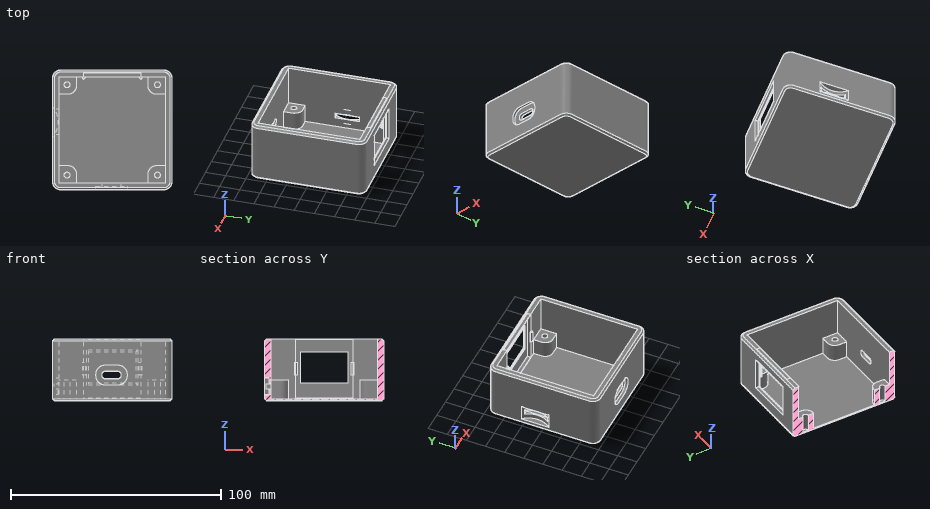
import cadquery as cq

side = 57.0
height = 29.5
corner_radius = 4.0
edge_chamfer = 1.0
wall = 3.25
floor_thickness = 1.0
outer_half = side / 2
inner_half = outer_half - wall

boss_size = 8.25
boss_radius = 4.0
boss_top = 10.0
screw_hole_diameter = 2.8
screw_spacing = 43.0

port_x = -0.35
port_z = 12.3
port_width = 9.0
port_height = 3.4
port_radius = 1.4
port_recess_margin = 3.0
port_recess_depth = 1.5

switch_y = 3.85
switch_z = 6.95
scoop_width = 14.5
scoop_height = 7.9
scoop_depth = 2.8
switch_slot_width = 12.2
switch_slot_height = 2.4

display_width = 27.4
display_height = 28.0
display_depth = 1.8
display_z = 15.3
window_width = 22.4
window_height = 14.7
window_z = 15.9
window_lip = 0.4

clip_length = 6.0
clip_reach = 1.2
clip_edge = 0.25
clip_foot = 0.45
clip_tip_bevel = 0.5


def block(x_min, x_max, y_min, y_max, z_min, z_max):
    """Box given by its limits along each axis."""
    return cq.Workplane("XY").box(
        x_max - x_min, y_max - y_min, z_max - z_min, centered=False
    ).translate((x_min, y_min, z_min))


def make_shell():
    """Square box with rounded corners, chamfered rims and an open top."""
    body = cq.Workplane("XY").rect(side, side).extrude(height)
    body = body.edges("|Z").fillet(corner_radius)
    body = body.faces("<Z or >Z").edges().chamfer(edge_chamfer)
    cavity = block(-inner_half, inner_half, -inner_half, inner_half, floor_thickness, height)
    return body.cut(cavity)


def make_boss(x_sign, y_sign):
    """Corner block with its free vertical edge rounded."""
    center = inner_half - boss_size / 2
    boss = (
        cq.Workplane("XY")
        .workplane(offset=floor_thickness)
        .center(x_sign * center, y_sign * center)
        .rect(boss_size, boss_size)
        .extrude(boss_top - floor_thickness)
    )
    inner_x_side = "<X" if x_sign > 0 else ">X"
    inner_y_side = "<Y" if y_sign > 0 else ">Y"
    return boss.edges("|Z").edges(inner_x_side).edges(inner_y_side).fillet(boss_radius)


def make_screw_holes():
    """Blind screw holes reaching from the boss tops down to the floor."""
    return (
        cq.Workplane("XY")
        .workplane(offset=floor_thickness)
        .rect(screw_spacing, screw_spacing, forConstruction=True)
        .vertices()
        .circle(screw_hole_diameter / 2)
        .extrude(boss_top - floor_thickness)
    )


def rounded_port(margin, depth):
    """Rounded-rectangle cutter entering the -Y face, grown by a margin all round."""
    cutter = block(
        port_x - port_width / 2 - margin,
        port_x + port_width / 2 + margin,
        -outer_half,
        -outer_half + depth,
        port_z - port_height / 2 - margin,
        port_z + port_height / 2 + margin,
    )
    return cutter.edges("|Y").fillet(port_radius + margin)


def make_cable_port():
    """Through slot with a wider recess for the plug body."""
    return rounded_port(0, wall).union(rounded_port(port_recess_margin, port_recess_depth))


def make_switch_opening():
    """Arc-shaped finger scoop with a slot through to the inside."""
    half_width = scoop_width / 2
    scoop = (
        cq.Workplane("XY")
        .workplane(offset=switch_z - scoop_height / 2)
        .moveTo(-outer_half, switch_y - half_width)
        .threePointArc((-outer_half + scoop_depth, switch_y), (-outer_half, switch_y + half_width))
        .close()
        .extrude(scoop_height)
    )
    slot = block(
        -outer_half,
        -inner_half,
        switch_y - switch_slot_width / 2,
        switch_y + switch_slot_width / 2,
        switch_z - switch_slot_height / 2,
        switch_z + switch_slot_height / 2,
    )
    return scoop.union(slot)


def make_display_opening():
    """Display seat inside the wall and a window flaring at 45 degrees to the outer face."""
    seat_back = inner_half + display_depth
    seat = block(
        -display_width / 2,
        display_width / 2,
        inner_half,
        seat_back,
        display_z - display_height / 2,
        display_z + display_height / 2,
    )
    window = block(
        -window_width / 2,
        window_width / 2,
        seat_back,
        outer_half,
        window_z - window_height / 2,
        window_z + window_height / 2,
    )
    flare = outer_half - seat_back - window_lip
    bevel = (
        cq.Workplane("XZ", origin=(0, outer_half, window_z))
        .rect(window_width + 2 * flare, window_height + 2 * flare)
        .workplane(offset=flare)
        .rect(window_width, window_height)
        .loft(ruled=True)
    )
    return seat.union(window).union(bevel)


def make_clip(x_sign):
    """Small prism beside the display seat, with a 45 degree face overhanging the seat edge."""
    seat_edge = display_width / 2
    clip_outer = seat_edge + clip_foot
    tip_x = clip_outer - clip_tip_bevel
    tip_y = inner_half - clip_reach
    slope = clip_reach - clip_edge
    outline = [
        (x_sign * (tip_x - slope), inner_half),
        (x_sign * (tip_x - slope), tip_y + slope),
        (x_sign * tip_x, tip_y),
        (x_sign * clip_outer, tip_y + clip_tip_bevel),
        (x_sign * clip_outer, inner_half),
    ]
    return (
        cq.Workplane("XY")
        .workplane(offset=display_z - clip_length / 2)
        .polyline(outline)
        .close()
        .extrude(clip_length)
    )


result = make_shell()
for x_sign in (-1, 1):
    for y_sign in (-1, 1):
        result = result.union(make_boss(x_sign, y_sign))
result = result.cut(make_screw_holes())
result = result.cut(make_cable_port())
result = result.cut(make_switch_opening())
result = result.cut(make_display_opening())
for x_sign in (-1, 1):
    result = result.union(make_clip(x_sign))